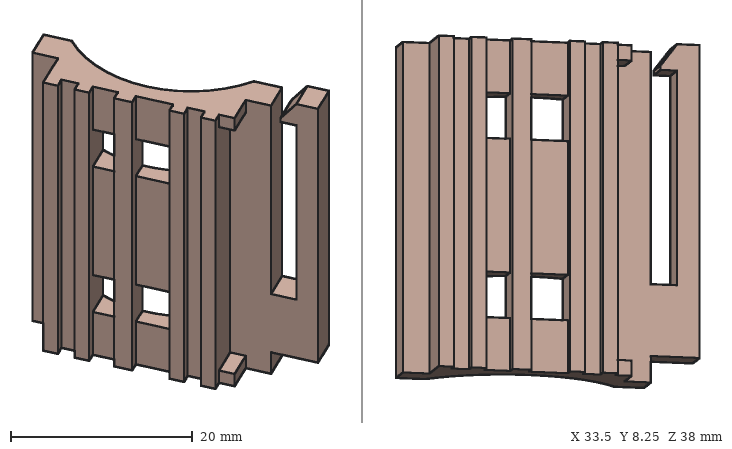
import cadquery as cq

plate_width = 28.0
plate_thickness = 3.55
plate_height = 37.0

block_left = 3.0
floor_depth = 7.05
total_depth = 8.25

rib_width = 1.7
center_rib_width = 2.13
rib_gap = 1.98
second_rib_left = block_left + rib_width + rib_gap
center_rib_left = 11.32
fourth_rib_left = 17.82
fifth_rib_left = fourth_rib_left + rib_width + rib_gap
block_right = fifth_rib_left + rib_width

tab_width = 1.82
tab_height = 1.7

trough_radius = 14.0
trough_depth = 4.98

window_height = 5.1
window_end_margin = 5.93

arm_right = 33.5
arm_width = 2.55
arm_left = arm_right - arm_width
arm_bottom = 2.95
arm_top = 38.0
arm_root_top = 11.02
hook_reach = 1.85
hook_bottom = 35.05
hook_nose_height = 0.55


def box(left, right, front, back, bottom, top):
    """Box given by its extents along X, Y and Z."""
    return (
        cq.Workplane("XY")
        .box(right - left, back - front, top - bottom, centered=False)
        .translate((left, front, bottom))
    )


def make_body():
    """Plate and front block with the trough and windows cut out."""
    body = box(0, plate_width, -plate_thickness, 0, 0, plate_height)
    body = body.union(box(block_left, block_right, -floor_depth, 0, 0, plate_height))

    trough = (
        cq.Workplane("XY")
        .center(plate_width / 2, trough_radius - trough_depth)
        .circle(trough_radius)
        .extrude(plate_height)
    )
    body = body.cut(trough)

    upper_window_bottom = plate_height - window_end_margin - window_height
    window_sides = (
        (second_rib_left + rib_width, center_rib_left),
        (center_rib_left + center_rib_width, fourth_rib_left),
    )
    for bottom in (window_end_margin, upper_window_bottom):
        for left, right in window_sides:
            window = box(left, right, -floor_depth, 0, bottom, bottom + window_height)
            body = body.cut(window)
    return body


def add_ribs(body):
    """Full-height ribs on the block floor."""
    ribs = (
        (block_left, rib_width),
        (second_rib_left, rib_width),
        (center_rib_left, center_rib_width),
        (fourth_rib_left, rib_width),
        (fifth_rib_left, rib_width),
    )
    for left, width in ribs:
        body = body.union(box(left, left + width, -total_depth, -floor_depth, 0, plate_height))
    return body


def add_tabs(body):
    """One tab at each end, filling the step beside the block."""
    for bottom in (0, plate_height - tab_height):
        body = body.union(
            box(block_right, block_right + tab_width, -floor_depth, -plate_thickness,
                bottom, bottom + tab_height)
        )
    return body


def make_snap_arm():
    """Arm on a wide root, ending in a hook that points back at the plate."""
    outline = [
        (plate_width, arm_bottom),
        (arm_right, arm_bottom),
        (arm_right, arm_top),
        (arm_left, arm_top),
        (arm_left - hook_reach, hook_bottom + hook_nose_height),
        (arm_left - hook_reach, hook_bottom),
        (arm_left, hook_bottom),
        (arm_left, arm_root_top),
        (plate_width, arm_root_top),
    ]
    return cq.Workplane("XZ").polyline(outline).close().extrude(plate_thickness)


result = add_tabs(add_ribs(make_body())).union(make_snap_arm())